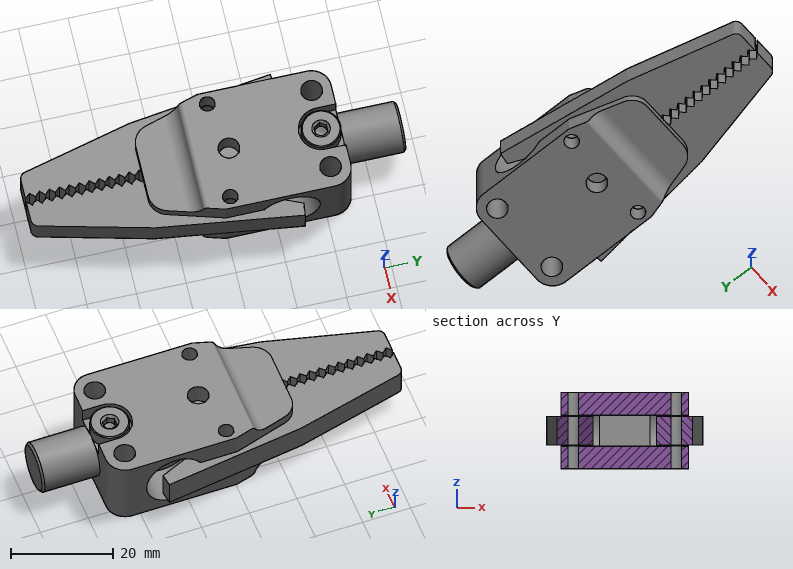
import cadquery as cq
import math


overall_width = 30.7
total_length = 75.35

shank_length = 12.0
shank_radius = 5.1
shank_chamfer = 0.45

housing_width = 25.0
housing_height = 15.0
housing_length = 40.0
corner_radius = 4.0
taper_start = 26.0
front_half_width = 8.4

step_start = 29.3
step_drop = 2.5
step_outer_radius = 1.0
step_inner_radius = 3.0

slot_height = 6.0
bore_radius = 6.0
bore_depth = 7.5
bore_distance = 13.0

mount_hole_diameter = 4.2
mount_hole_x = 8.3
mount_hole_distance = 4.0
center_hole_distance = 22.5
pivot_diameter = 3.0
pivot_x = 10.1
pivot_distance = 24.6

plug_radius = 3.9
plug_chamfer = 0.2
plug_distance = mount_hole_distance
recess_radius = 4.45
recess_depth = 3.0
ramp_start = 7.45
socket_width = 2.5
socket_depth = 1.9
socket_mouth_radius = 1.8
drill_point_angle = 118.0

jaw_height = 5.65
jaw_rear_distance = 10.7
jaw_knee_half_width = 11.4
jaw_knee_distance = 39.9
jaw_tip_half_width = 5.6
jaw_tip_radius = 1.5
tail_thickness = 2.55
jaw_half_gap = 0.3
tooth_count = 12
tooth_depth = 1.0
serration_length = 24.0

jaw_rear_half_width = overall_width / 2
half_width = housing_width / 2
half_height = housing_height / 2
lip_half_height = half_height - step_drop
recess_floor = half_height - recess_depth
tip_distance = total_length - shank_length
tooth_pitch = serration_length / tooth_count


def housing_plan():
    """Full-height block with rounded corners and tapered front sides."""
    block = (
        cq.Workplane("XY")
        .workplane(offset=-half_height)
        .moveTo(-half_width, 0)
        .lineTo(half_width, 0)
        .lineTo(half_width, -taper_start)
        .lineTo(front_half_width, -housing_length)
        .lineTo(-front_half_width, -housing_length)
        .lineTo(-half_width, -taper_start)
        .close()
        .extrude(housing_height)
    )
    corners = block.edges("|Z and >Y").add(block.edges("|Z and <Y"))
    return corners.fillet(corner_radius)


def step_cutter():
    """Material above the upper front lip, cut along the two tangent arcs of the step."""
    angle = math.acos(1 - step_drop / (step_outer_radius + step_inner_radius))
    step_end = step_start + (step_outer_radius + step_inner_radius) * math.sin(angle)

    def outer_point(turn):
        return (
            -step_start - step_outer_radius * math.sin(turn),
            half_height - step_outer_radius * (1 - math.cos(turn)),
        )

    def inner_point(turn):
        return (
            -step_end + step_inner_radius * math.sin(turn),
            lip_half_height + step_inner_radius * (1 - math.cos(turn)),
        )

    return (
        cq.Workplane("YZ")
        .moveTo(-step_start, half_height)
        .threePointArc(outer_point(angle / 2), outer_point(angle))
        .threePointArc(inner_point(angle / 2), (-step_end, lip_half_height))
        .lineTo(-housing_length, lip_half_height)
        .lineTo(-housing_length, half_height)
        .close()
        .extrude(half_width, both=True)
    )


def jaw_slot():
    """Slot open at the front and both sides, with a blind bore at its rear end on each side."""
    slot_length = housing_length - bore_distance
    slot = cq.Workplane("XY").box(housing_width, slot_length, slot_height)
    slot = slot.translate((0, -bore_distance - slot_length / 2, 0))
    left_bore = (
        cq.Workplane("YZ", origin=(-half_width, -bore_distance, 0))
        .circle(bore_radius)
        .extrude(bore_depth)
    )
    return slot.union(left_bore).union(left_bore.mirror("YZ"))


def plug_recess():
    """U-shaped recess open at the rear, with a ramp rising around the plug at the closed end."""
    recess = (
        cq.Workplane("XY")
        .workplane(offset=recess_floor)
        .moveTo(-recess_radius, 0)
        .lineTo(-recess_radius, -plug_distance)
        .threePointArc((0, -plug_distance - recess_radius), (recess_radius, -plug_distance))
        .lineTo(recess_radius, 0)
        .close()
        .extrude(recess_depth)
    )
    ramp = (
        cq.Workplane("YZ")
        .moveTo(-ramp_start, recess_floor)
        .lineTo(-ramp_start - recess_depth, recess_floor)
        .lineTo(-ramp_start - recess_depth, half_height)
        .close()
        .extrude(recess_radius, both=True)
    )
    plug_seat = (
        cq.Workplane("XY", origin=(0, -plug_distance, recess_floor))
        .circle(plug_radius)
        .extrude(recess_depth)
    )
    return recess.cut(ramp).union(plug_seat)


def vertical_holes(diameter, centers):
    return (
        cq.Workplane("XY")
        .pushPoints(centers)
        .circle(diameter / 2)
        .extrude(half_height, both=True)
    )


def make_shank():
    return (
        cq.Workplane("XZ")
        .circle(shank_radius)
        .extrude(-shank_length)
        .faces(">Y")
        .chamfer(shank_chamfer)
    )


def make_housing():
    upper_step = step_cutter()
    large_holes = [
        (-mount_hole_x, -mount_hole_distance),
        (mount_hole_x, -mount_hole_distance),
        (0, -center_hole_distance),
    ]
    pivots = [(-pivot_x, -pivot_distance), (pivot_x, -pivot_distance)]
    return (
        housing_plan()
        .cut(upper_step)
        .cut(upper_step.mirror("XY"))
        .cut(jaw_slot())
        .cut(plug_recess())
        .cut(vertical_holes(mount_hole_diameter, large_holes))
        .cut(vertical_holes(pivot_diameter, pivots))
        .union(make_shank())
    )


def make_plug():
    """Round plug on the recess floor, with a hexagon socket that ends in a drill point."""
    socket_radius = socket_width / math.sqrt(3)
    socket_floor = recess_depth - socket_depth
    point_depth = socket_width / 2 / math.tan(math.radians(drill_point_angle / 2))
    plug = cq.Workplane("XY").circle(plug_radius).extrude(recess_depth)
    plug = plug.faces(">Z").edges().chamfer(plug_chamfer)
    socket = (
        cq.Workplane("XY")
        .workplane(offset=socket_floor)
        .polygon(6, 2 * socket_radius)
        .extrude(socket_depth)
    )
    point_tip = cq.Vector(0, 0, socket_floor - point_depth)
    drill_point = cq.Workplane(
        cq.Solid.makeCone(0, socket_width / 2, point_depth, pnt=point_tip)
    )
    mouth_tip = cq.Vector(0, 0, recess_depth - socket_mouth_radius)
    mouth = cq.Workplane(
        cq.Solid.makeCone(0, socket_mouth_radius, socket_mouth_radius, pnt=mouth_tip)
    )
    plug = plug.cut(socket).cut(drill_point).cut(mouth)
    return plug.translate((0, -plug_distance, recess_floor))


def make_jaw(side):
    """One jaw, on the -X side for side = -1 and on the +X side for side = 1."""
    flank_length = jaw_knee_distance - jaw_rear_distance
    tilt = math.atan2(jaw_rear_half_width - jaw_knee_half_width, flank_length)
    tail_inner = (
        jaw_rear_half_width - tail_thickness * math.cos(tilt),
        -jaw_rear_distance + tail_thickness * math.sin(tilt),
    )
    outline = [
        tail_inner,
        (jaw_rear_half_width, -jaw_rear_distance),
        (jaw_knee_half_width, -jaw_knee_distance),
        (jaw_tip_half_width, -tip_distance),
        (jaw_half_gap, -tip_distance),
    ]
    for tooth in range(tooth_count):
        crest_y = -tip_distance + tooth * tooth_pitch
        outline.append((jaw_half_gap + tooth_depth, crest_y + tooth_pitch / 2))
        outline.append((jaw_half_gap, crest_y + tooth_pitch))
    jaw = (
        cq.Workplane("XY")
        .polyline([(side * x, y) for x, y in outline])
        .close()
        .extrude(jaw_height / 2, both=True)
    )
    outer_tip = cq.selectors.NearestToPointSelector((side * jaw_tip_half_width, -tip_distance, 0))
    jaw = jaw.edges("|Z").edges(outer_tip).fillet(jaw_tip_radius)
    return jaw.cut(vertical_holes(pivot_diameter, [(side * pivot_x, -pivot_distance)]))


housing = make_housing()
plug = make_plug()
jaws = [make_jaw(side) for side in (-1, 1)]

result = cq.Compound.makeCompound([housing.val(), plug.val(), *[jaw.val() for jaw in jaws]])